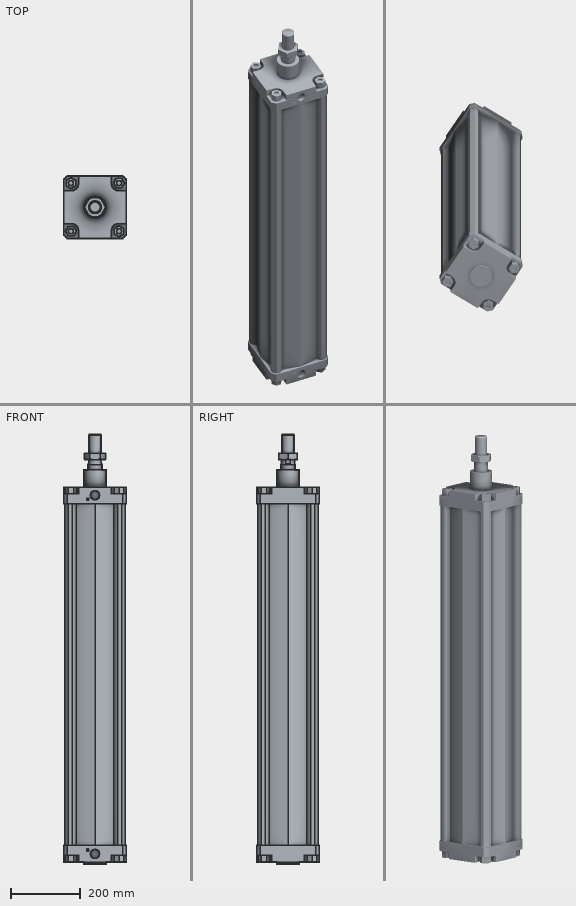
import cadquery as cq
import math

total_length = 1237.0
spigot_height = 6.0
head_height = 48.0
front_head_top = 1085.0
collar_top = 1134.0
neck_bottom = 1149.0
flats_bottom = 1152.0
shoulder_top = 1164.0
rear_head_bottom = spigot_height
rear_head_top = rear_head_bottom + head_height
front_head_bottom = front_head_top - head_height

head_width = 180.0
head_chamfer = 11.0
pocket_start = 47.0
pocket_depth = 20.0
collar_diameter = 64.0

tie_rod_offset = 69.0
pocket_corner_radius = tie_rod_offset - pocket_start
tie_nut_flats = 27.0
tie_rod_hole_diameter = 15.0
tie_rod_hole_depth = 5.0

port_diameter = 26.0
port_inset = 24.0
port_depth = 25.0
screw_hole_diameter = 6.0
screw_hole_offset = 21.0
screw_hole_inset = 35.0
screw_hole_depth = 12.0

barrel_width = 175.0
barrel_half_width = barrel_width / 2
rail_outer = 77.0
rail_inner = 65.0
groove_edge = 55.0
groove_level = 75.0

rod_diameter = 41.0
neck_diameter = 40.0
thread_diameter = 36.0
rod_flats = 37.0
rod_tip_chamfer = 2.0
nut_height = 19.0
nut_flats = 55.0
nut_corner_chamfer = 2.0


def cylinder(diameter, bottom, top):
    """Solid cylinder on the Z axis between two levels."""
    return cq.Workplane("XY").workplane(offset=bottom).circle(diameter / 2).extrude(top - bottom)


def hexagon(across_flats, bottom, top):
    """Hexagonal prism on the Z axis with two corners on the X axis."""
    across_corners = across_flats / math.cos(math.pi / 6)
    return cq.Workplane("XY").workplane(offset=bottom).polygon(6, across_corners).extrude(top - bottom)


def side_hole(diameter, depth, x, z):
    """Cutter for a blind hole going in from the -Y side of a head."""
    return cq.Workplane("XZ", origin=(x, -head_width / 2, z)).circle(diameter / 2).extrude(-depth)


def make_corner_pocket(outer_face, inward):
    """Cutter for the pocket in the (-X, -Y) corner."""
    pocket_width = head_width / 2 - pocket_start
    center = -(pocket_start + pocket_width / 2)
    return (
        cq.Workplane("XY").workplane(offset=outer_face)
        .center(center, center).rect(pocket_width, pocket_width).extrude(inward * pocket_depth)
        .edges("|Z and >X and >Y").fillet(pocket_corner_radius)
    )


def make_tie_nut(outer_face, inward):
    """Tie rod nut in the (-X, -Y) corner, flush with the outer face."""
    pocket_floor = outer_face + inward * pocket_depth
    hole_bottom = outer_face + inward * tie_rod_hole_depth
    hole = cylinder(tie_rod_hole_diameter, hole_bottom, outer_face)
    return (
        hexagon(tie_nut_flats, pocket_floor, outer_face)
        .cut(hole)
        .translate((-tie_rod_offset, -tie_rod_offset, 0))
    )


def make_head(outer_face, inward):
    """Square end head; inward is the Z direction (1 or -1) from its outer face to the barrel."""
    head = (
        cq.Workplane("XY").workplane(offset=outer_face)
        .rect(head_width, head_width).extrude(inward * head_height)
        .edges("|Z").chamfer(head_chamfer)
    )
    pocket = make_corner_pocket(outer_face, inward)
    tie_nut = make_tie_nut(outer_face, inward)
    for quarter in range(4):
        turn = ((0, 0, 0), (0, 0, 1), 90 * quarter)
        head = head.cut(pocket.rotate(*turn)).union(tie_nut.rotate(*turn))
    port_z = outer_face + inward * port_inset
    screw_hole_z = outer_face + inward * screw_hole_inset
    port = side_hole(port_diameter, port_depth, 0, port_z)
    screw_hole = side_hole(screw_hole_diameter, screw_hole_depth, -screw_hole_offset, screw_hole_z)
    return head.cut(port).cut(screw_hole)


def make_barrel():
    """Square barrel with chamfered corner rails and slightly peaked faces between them."""
    side_points = [
        (-rail_outer, -barrel_half_width),
        (-rail_inner, -barrel_half_width),
        (-groove_edge, -groove_level),
        (0, -barrel_half_width),
        (groove_edge, -groove_level),
        (rail_inner, -barrel_half_width),
        (rail_outer, -barrel_half_width),
    ]
    outline = []
    for quarter in range(4):
        for x, y in side_points:
            for _ in range(quarter):
                x, y = -y, x
            outline.append((x, y))
    return (
        cq.Workplane("XY").workplane(offset=rear_head_top)
        .polyline(outline).close().extrude(front_head_bottom - rear_head_top)
    )


def make_housing():
    """Barrel, heads, collar and spigot in one piece, with a blind bore for the rod."""
    housing = make_barrel()
    housing = housing.union(make_head(rear_head_bottom, 1))
    housing = housing.union(make_head(front_head_top, -1))
    housing = housing.union(cylinder(collar_diameter, 0, rear_head_bottom))
    housing = housing.union(cylinder(collar_diameter, front_head_top, collar_top))
    return housing.cut(cylinder(rod_diameter, front_head_bottom, collar_top))


def make_rod():
    """Piston rod with a slightly narrower neck, two spanner flats facing X, and a threaded end."""
    rod = cylinder(rod_diameter, front_head_bottom, neck_bottom)
    neck = cylinder(neck_diameter, neck_bottom, shoulder_top)
    for side in (-1, 1):
        flat_cut = (
            cq.Workplane("XY").workplane(offset=flats_bottom)
            .center(side * (rod_flats + rod_diameter) / 2, 0)
            .rect(rod_diameter, rod_diameter).extrude(shoulder_top - flats_bottom)
        )
        neck = neck.cut(flat_cut)
    thread = cylinder(thread_diameter, shoulder_top, total_length).faces(">Z").chamfer(rod_tip_chamfer)
    return rod.union(neck).union(thread)


def make_nut():
    """Hexagonal rod nut with its corners turned down at both ends."""
    nut_top = shoulder_top + nut_height
    corner_diameter = nut_flats / math.cos(math.pi / 6)
    turned_blank = (
        cylinder(corner_diameter, shoulder_top, nut_top)
        .edges().chamfer(nut_corner_chamfer)
    )
    return (
        hexagon(nut_flats, shoulder_top, nut_top)
        .intersect(turned_blank)
        .cut(cylinder(thread_diameter, shoulder_top, nut_top))
    )


housing = make_housing()
rod = make_rod()
nut = make_nut()

result = cq.Compound.makeCompound([housing.val(), rod.val(), nut.val()])